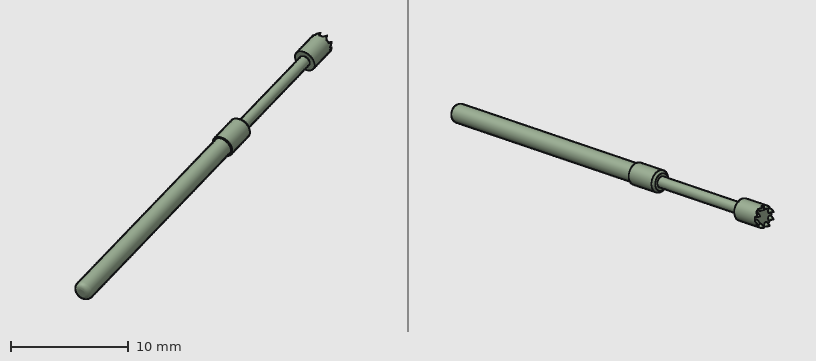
import cadquery as cq
import math

total_length = 37.8
head_diameter = 2.0
tooth_height = 0.5
head_length = 3.0
plunger_diameter = 1.02
plunger_length = 9.83
collar_diameter = head_diameter
collar_length = 3.0
collar_chamfer = 0.23
barrel_diameter = 1.7
tail_fillet = 0.45

tooth_count = 8
tooth_base_radius = 0.23
tooth_circle_radius = 0.87

tip_y = total_length / 2
rim_y = tip_y - tooth_height
head_back_y = tip_y - head_length
collar_front_y = head_back_y - plunger_length
collar_back_y = collar_front_y - collar_length
tail_y = -total_length / 2


def cylinder_along_y(diameter, start_y, end_y):
    """Solid cylinder on the Y axis between two stations."""
    plane = cq.Workplane("XZ", origin=(0, end_y, 0))
    return plane.circle(diameter / 2).extrude(end_y - start_y)


def crown_tooth(angle_degrees):
    """Pointed conical tooth standing on the head rim."""
    angle = math.radians(angle_degrees)
    base_centre = cq.Vector(
        tooth_circle_radius * math.cos(angle),
        rim_y,
        tooth_circle_radius * math.sin(angle),
    )
    cone = cq.Solid.makeCone(tooth_base_radius, 0, tooth_height, base_centre, cq.Vector(0, 1, 0))
    return cq.Workplane(cone)


barrel = cylinder_along_y(barrel_diameter, tail_y, collar_back_y)
barrel = barrel.faces("<Y").edges().fillet(tail_fillet)

collar = cylinder_along_y(collar_diameter, collar_back_y, collar_front_y)
collar = collar.faces(">Y").edges().chamfer(collar_chamfer)

plunger = cylinder_along_y(plunger_diameter, collar_front_y, head_back_y)

head = cylinder_along_y(head_diameter, head_back_y, rim_y)
tooth_envelope = cylinder_along_y(head_diameter, rim_y, tip_y)
tooth_pitch = 360 / tooth_count
for index in range(tooth_count):
    tooth = crown_tooth((index + 0.5) * tooth_pitch)
    head = head.union(tooth.intersect(tooth_envelope))

result = barrel.union(collar).union(plunger).union(head)